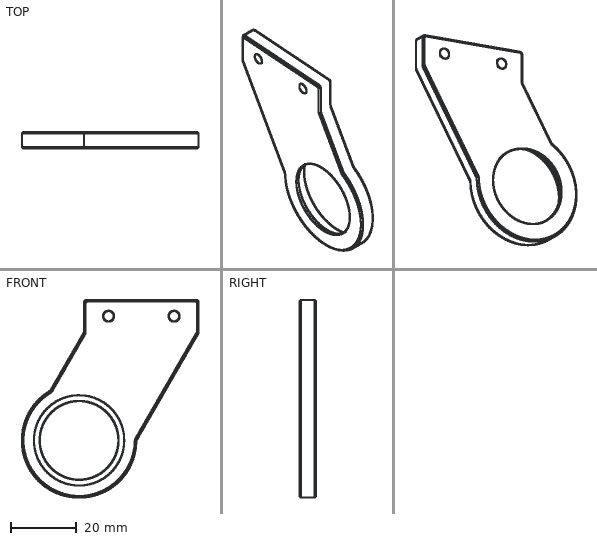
import cadquery as cq
import math

THICKNESS = 5.0
RING_RADIUS = 17.5
BORE_DIAMETER = 24.0
SEAT_DIAMETER = 27.6
SEAT_DEPTH = 4.0

ARM_ANGLE = 60.0
ARM_SHIFT = 19.0
HEAD_HEIGHT = 10.0

SCREW_HOLE_DIAMETER = 3.2
SCREW_HOLE_SPACING = 20.0
SCREW_HOLE_TOP_MARGIN = 5.0

CORNER_RADIUS = 1.0
EDGE_CHAMFER = 0.5

head_left = ARM_SHIFT - RING_RADIUS
head_right = ARM_SHIFT + RING_RADIUS
head_bottom = ARM_SHIFT * math.tan(math.radians(ARM_ANGLE))
head_top = head_bottom + HEAD_HEIGHT

joint_angle = math.radians(2.0 * ARM_ANGLE)
joint_x = RING_RADIUS * math.cos(joint_angle)
joint_z = RING_RADIUS * math.sin(joint_angle)


def make_plate():
    """Ring, slanted arm and straight head as one plate with softened edges."""
    plate = (
        cq.Workplane("XZ")
        .moveTo(RING_RADIUS, 0)
        .lineTo(head_right, head_bottom)
        .lineTo(head_right, head_top)
        .lineTo(head_left, head_top)
        .lineTo(head_left, head_bottom)
        .lineTo(joint_x, joint_z)
        .threePointArc((0, -RING_RADIUS), (RING_RADIUS, 0))
        .close()
        .extrude(THICKNESS)
    )
    plate = plate.edges("|Y").fillet(CORNER_RADIUS)
    return plate.faces("<Y or >Y").chamfer(EDGE_CHAMFER)


def front_cut(points, diameter, depth):
    """Round cutters entering the front (-Y) face to the given depth."""
    return (
        cq.Workplane("XZ", origin=(0, -THICKNESS, 0))
        .pushPoints(points)
        .circle(diameter / 2)
        .extrude(-depth)
    )


ring_axis = [(0, 0)]
screw_z = head_top - SCREW_HOLE_TOP_MARGIN
screw_points = [
    (ARM_SHIFT + side * SCREW_HOLE_SPACING / 2, screw_z) for side in (-1, 1)
]

result = (
    make_plate()
    .cut(front_cut(ring_axis, BORE_DIAMETER, THICKNESS))
    .cut(front_cut(ring_axis, SEAT_DIAMETER, SEAT_DEPTH))
    .cut(front_cut(screw_points, SCREW_HOLE_DIAMETER, THICKNESS))
)